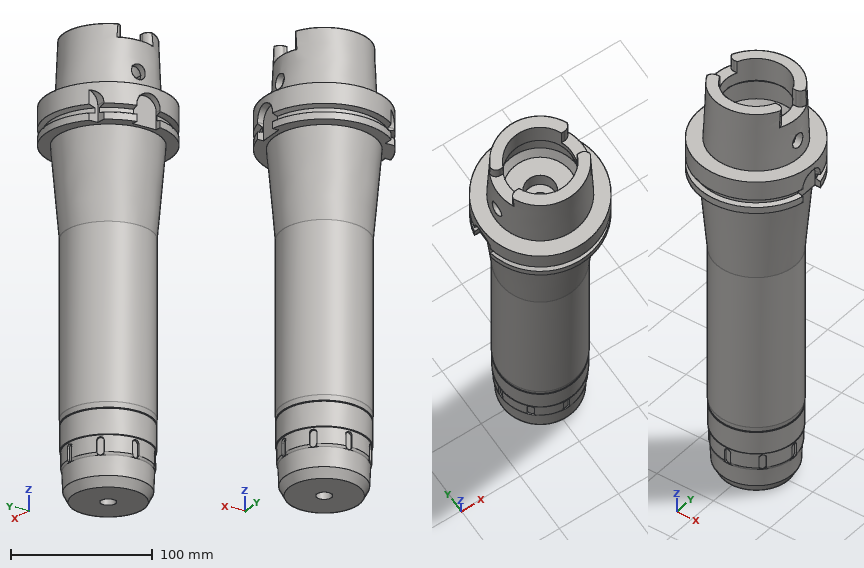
import cadquery as cq
import math

total_length = 350.0

shank_length = 50.0
shank_top_radius = 35.7
shank_base_radius = 37.8
flange_face_z = total_length - shank_length

flange_radius = 50.0
flange_bottom_z = 271.2
groove_floor_radius = 46.2
groove_top_z = 283.5
groove_bottom_z = 277.0
groove_floor_top_z = 281.8
groove_floor_bottom_z = 278.0

neck_top_radius = 41.0
body_radius = 34.5
neck_bottom_z = 200.0

relief_top_z = 62.5
parting_top_z = 58.5
parting_bottom_z = 57.8
parting_radius = 34.0
sleeve_radius = 34.3
sleeve_edge_break = 0.5
sleeve_bottom_z = 37.8

ring_radius = 33.5
ring_bottom_z = 25.0
nose_top_z = 22.8
nose_top_radius = 33.0
nose_bottom_radius = 32.2
nose_chamfer_z = 7.5
tip_radius = 28.5

mouth_radius = 26.5
mouth_depth = 20.0
chamber_radius = 31.5
chamber_chamfer = chamber_radius - mouth_radius
chamber_wall_depth = 41.0
chamber_depth = chamber_wall_depth + chamber_chamfer
thread_radius = 12.2
thread_depth = 14.0
coolant_radius = 6.0

access_radius = 6.0
access_z = 315.5

drive_half_width = 10.0
drive_round_radius = 5.2
drive_shoulder = 32.5
drive_depth_left = 10.0
drive_depth_right = 14.7

keyway_radius = 10.0
keyway_top_z = 294.7
keyway_floor = 44.0
notch_floor = 31.5
notch_offset = notch_floor + keyway_radius

wrench_slot_count = 8
wrench_slot_width = 5.2
wrench_slot_depth = 1.8
wrench_slot_top_z = 36.5


def turned_body():
    """Solid of revolution following the outside of the holder."""
    profile = [
        (0, 0),
        (tip_radius, 0),
        (nose_bottom_radius, nose_chamfer_z),
        (nose_top_radius, nose_top_z),
        (ring_radius, ring_bottom_z),
        (ring_radius, sleeve_bottom_z),
        (sleeve_radius - sleeve_edge_break, sleeve_bottom_z),
        (sleeve_radius, sleeve_bottom_z + sleeve_edge_break),
        (sleeve_radius, parting_bottom_z),
        (parting_radius, parting_bottom_z),
        (parting_radius, parting_top_z),
        (sleeve_radius, parting_top_z),
        (body_radius, relief_top_z),
        (body_radius, neck_bottom_z),
        (neck_top_radius, flange_bottom_z),
        (flange_radius, flange_bottom_z),
        (flange_radius, groove_bottom_z),
        (groove_floor_radius, groove_floor_bottom_z),
        (groove_floor_radius, groove_floor_top_z),
        (flange_radius, groove_top_z),
        (flange_radius, flange_face_z),
        (shank_base_radius, flange_face_z),
        (shank_top_radius, total_length),
        (0, total_length),
    ]
    return cq.Workplane("XZ").polyline(profile).close().revolve(360, (0, 0), (0, 1))


def axial_bores():
    """Stepped bore: mouth, wider clamping chamber, thread hole and coolant hole."""
    mouth_floor_z = total_length - mouth_depth
    chamber_floor_z = total_length - chamber_depth
    thread_floor_z = chamber_floor_z - thread_depth
    profile = [
        (0, 0),
        (coolant_radius, 0),
        (coolant_radius, thread_floor_z),
        (thread_radius, thread_floor_z),
        (thread_radius, chamber_floor_z),
        (mouth_radius, chamber_floor_z),
        (chamber_radius, total_length - chamber_wall_depth),
        (chamber_radius, mouth_floor_z - chamber_chamfer),
        (mouth_radius, mouth_floor_z),
        (mouth_radius, total_length),
        (0, total_length),
    ]
    return cq.Workplane("XZ").polyline(profile).close().revolve(360, (0, 0), (0, 1))


def access_hole():
    """Round hole along X through both walls of the shank."""
    return (
        cq.Workplane("YZ")
        .center(0, access_z)
        .circle(access_radius)
        .extrude(shank_base_radius, both=True)
    )


def drive_slot(side, depth):
    """Slot in the shank mouth on the given X side, its outer corners rounded convex."""
    round_start = side * (drive_shoulder - drive_round_radius)
    shoulder = side * drive_shoulder
    outside = side * flange_radius
    mouth_half_width = drive_half_width + drive_round_radius
    arc_offset = drive_round_radius * math.cos(math.radians(45))
    arc_x = round_start + side * arc_offset
    arc_y = mouth_half_width - arc_offset
    return (
        cq.Workplane("XY")
        .workplane(offset=total_length - depth)
        .moveTo(0, -drive_half_width)
        .lineTo(round_start, -drive_half_width)
        .threePointArc((arc_x, -arc_y), (shoulder, -mouth_half_width))
        .lineTo(shoulder, -flange_radius)
        .lineTo(outside, -flange_radius)
        .lineTo(outside, flange_radius)
        .lineTo(shoulder, flange_radius)
        .lineTo(shoulder, mouth_half_width)
        .threePointArc((arc_x, arc_y), (round_start, drive_half_width))
        .lineTo(0, drive_half_width)
        .close()
        .extrude(depth)
    )


def keyway(side, floor, center_y):
    """Round-topped keyway cut along X into the flange rim, open at the flange bottom."""
    arc_center_z = keyway_top_z - keyway_radius
    return (
        cq.Workplane("YZ", origin=(side * floor, center_y, 0))
        .moveTo(-keyway_radius, flange_bottom_z)
        .lineTo(-keyway_radius, arc_center_z)
        .threePointArc((0, keyway_top_z), (keyway_radius, arc_center_z))
        .lineTo(keyway_radius, flange_bottom_z)
        .close()
        .extrude(side * flange_radius)
    )


def wrench_slots():
    """Shallow flat-bottomed slots with round ends, spaced evenly around the ring."""
    slot_floor = ring_radius - wrench_slot_depth
    slot_height = wrench_slot_top_z - nose_top_z
    slot = (
        cq.Workplane("YZ", origin=(slot_floor, 0, nose_top_z + slot_height / 2))
        .slot2D(slot_height, wrench_slot_width, 90)
        .extrude(wrench_slot_depth * 2)
    )
    slots = cq.Workplane("XY")
    for index in range(wrench_slot_count):
        slots = slots.add(slot.rotate((0, 0, 0), (0, 0, 1), index * 360 / wrench_slot_count))
    return slots.combine()


result = turned_body().cut(axial_bores()).cut(access_hole())
result = result.cut(drive_slot(-1, drive_depth_left)).cut(drive_slot(1, drive_depth_right))
for keyway_side in (-1, 1):
    result = result.cut(keyway(keyway_side, keyway_floor, 0))
result = result.cut(keyway(-1, notch_floor, notch_offset))
result = result.cut(wrench_slots())